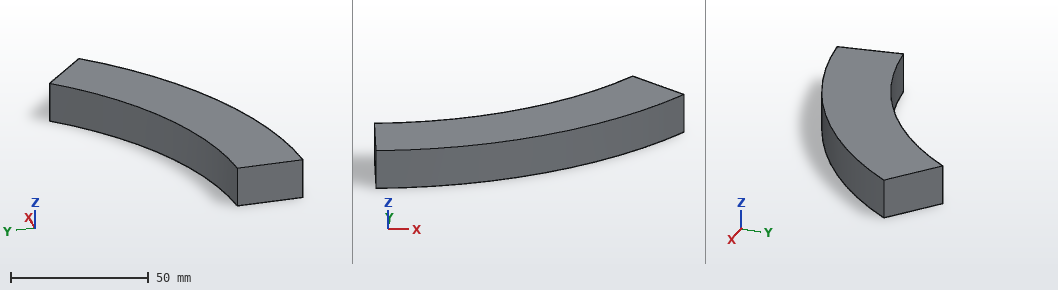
import cadquery as cq
import math

length_x = 110.8
thickness = 15.0
inner_radius = 130.0
outer_radius = 155.0

left_angle = math.radians(-85.8)
left_edge_x = inner_radius * math.cos(left_angle)
right_angle = -math.acos((left_edge_x + length_x) / outer_radius)
middle_angle = (left_angle + right_angle) / 2


def arc_point(radius, angle):
    return (radius * math.cos(angle), radius * math.sin(angle))


result = (
    cq.Workplane("XY")
    .moveTo(*arc_point(inner_radius, left_angle))
    .lineTo(*arc_point(outer_radius, left_angle))
    .threePointArc(arc_point(outer_radius, middle_angle), arc_point(outer_radius, right_angle))
    .lineTo(*arc_point(inner_radius, right_angle))
    .threePointArc(arc_point(inner_radius, middle_angle), arc_point(inner_radius, left_angle))
    .close()
    .extrude(thickness)
)